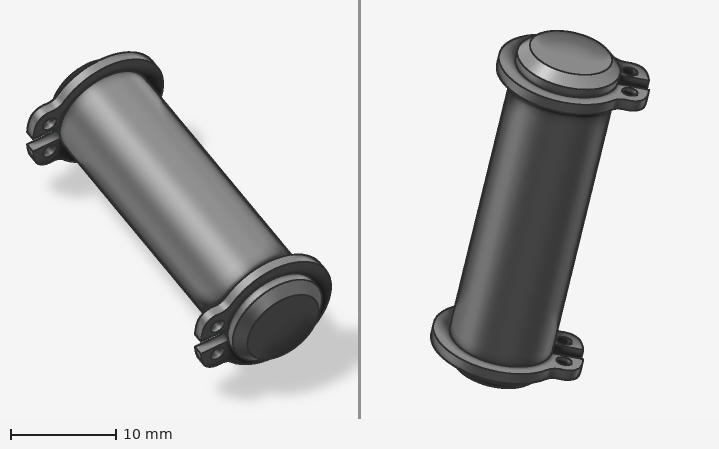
import cadquery as cq
import math

pin_length = 35.0
pin_diameter = 10.0
pin_chamfer = 1.0

ring_thickness = 1.1
ring_end_distance = 1.92
ring_diameter = 12.7
ring_radius = ring_diameter / 2
ring_length = 14.6
ring_offset = 0.25
gap_width = 1.8
groove_depth = 0.2

ear_hole_diameter = 1.5
ear_hole_y = -6.12
ear_hole_z = 1.95
ear_radius = 1.68
ear_tip_y = ring_offset + ring_radius - ring_length
ear_bend_height = 0.5
neck_radius = 1.5


def make_pin():
    pin = cq.Workplane("YZ").circle(pin_diameter / 2).extrude(pin_length / 2, both=True)
    return pin.faces("<X or >X").chamfer(pin_chamfer)


def make_groove(start_x):
    return (
        cq.Workplane("YZ", origin=(start_x, 0, 0))
        .circle(pin_diameter / 2)
        .circle(pin_diameter / 2 - groove_depth)
        .extrude(ring_thickness)
    )


def make_ear(start_x, side):
    """Ear above (side = 1) or below (side = -1) the ring gap."""
    gap_edge = gap_width / 2

    ring_to_neck = ring_radius + neck_radius
    ear_to_neck = ear_radius + neck_radius
    ring_to_ear = math.hypot(ring_offset - ear_hole_y, ear_hole_z)
    ear_angle = math.atan2(ear_hole_z, ring_offset - ear_hole_y)
    corner_angle = math.acos(
        (ring_to_neck**2 + ring_to_ear**2 - ear_to_neck**2) / (2 * ring_to_neck * ring_to_ear)
    )
    neck_angle = ear_angle + corner_angle
    neck_center_y = ring_offset - ring_to_neck * math.cos(neck_angle)
    neck_center_z = ring_to_neck * math.sin(neck_angle)
    neck_start = (
        ring_offset - ring_radius * math.cos(neck_angle),
        side * ring_radius * math.sin(neck_angle),
    )
    ear_share = ear_radius / ear_to_neck
    neck_end = (
        ear_hole_y + ear_share * (neck_center_y - ear_hole_y),
        side * (ear_hole_z + ear_share * (neck_center_z - ear_hole_z)),
    )

    bend_y = ear_hole_y - math.sqrt(ear_radius**2 - ear_bend_height**2)
    bend = (bend_y, side * (ear_hole_z + ear_bend_height))

    return (
        cq.Workplane("YZ", origin=(start_x, 0, 0))
        .moveTo(ring_offset, side * gap_edge)
        .lineTo(*neck_start)
        .radiusArc(neck_end, side * neck_radius)
        .tangentArcPoint(bend, relative=False)
        .tangentArcPoint((ear_tip_y, side * gap_edge), relative=False)
        .close()
        .extrude(ring_thickness)
    )


def make_ring(start_x):
    plane = cq.Workplane("YZ", origin=(start_x, 0, 0))
    ring = plane.center(ring_offset, 0).circle(ring_radius).extrude(ring_thickness)
    for side in (1, -1):
        ring = ring.union(make_ear(start_x, side))

    ear_holes = (
        cq.Workplane("YZ", origin=(start_x, 0, 0))
        .pushPoints([(ear_hole_y, ear_hole_z), (ear_hole_y, -ear_hole_z)])
        .circle(ear_hole_diameter / 2)
        .extrude(ring_thickness)
    )
    gap = cq.Workplane("XY").box(
        ring_thickness, -ear_tip_y, gap_width, centered=(False, False, True)
    ).translate((start_x, ear_tip_y, 0))
    return ring.cut(ear_holes).cut(gap)


first_ring_x = -pin_length / 2 + ring_end_distance
second_ring_x = pin_length / 2 - ring_end_distance - ring_thickness

result = make_pin()
for ring_x in (first_ring_x, second_ring_x):
    result = result.cut(make_groove(ring_x)).union(make_ring(ring_x))